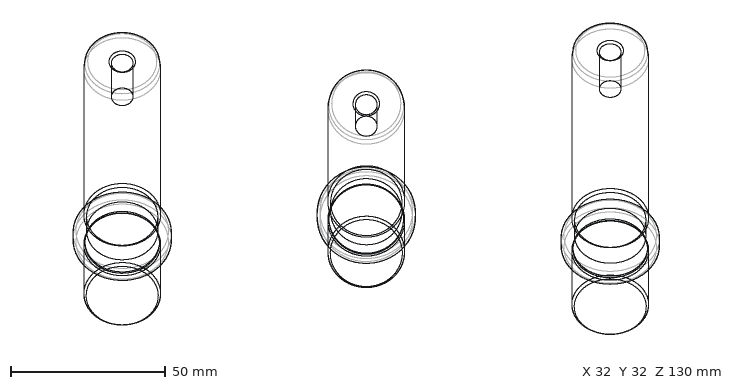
import cadquery as cq

total_height = 130.0
shaft_radius = 12.5
bottom_chamfer_height = 1.0
bottom_chamfer_width = 0.8

lead_length = 4.0
lead_top_radius = 12.1
edge_round = 0.98

flange_radius = 16.0
flange_bottom = 30.0
flange_height = 6.0
flange_top = flange_bottom + flange_height

relief_radius = 12.1
relief_width = 0.8
relief_taper_height = 0.8

neck_radius = 11.6
neck_length = 8.0
neck_step = shaft_radius - neck_radius

hole_radius = 3.5
hole_depth = 19.5
hole_chamfer = 0.8
hole_chamfer_angle = 90


def make_shaft():
    """Revolve the stepped shaft from its half section in the XZ plane."""
    relief_bottom = flange_bottom - relief_width
    neck_top = flange_top + neck_length
    half_section = (
        cq.Workplane("XZ")
        .lineTo(shaft_radius - bottom_chamfer_width, 0)
        .lineTo(shaft_radius, bottom_chamfer_height)
        .lineTo(shaft_radius, relief_bottom - relief_taper_height)
        .lineTo(relief_radius, relief_bottom)
        .lineTo(relief_radius, flange_bottom)
        .lineTo(neck_radius, flange_bottom)
        .lineTo(neck_radius, neck_top)
        .lineTo(shaft_radius, neck_top + neck_step)
        .lineTo(shaft_radius, total_height - lead_length)
        .lineTo(lead_top_radius, total_height)
        .lineTo(0, total_height)
        .close()
    )
    shaft = half_section.revolve(360, (0, 0, 0), (0, 1, 0))
    return shaft.faces(">Z").edges().fillet(edge_round)


def make_flange():
    """Disc with both outer edges rounded."""
    disc = cq.Workplane("XY").workplane(offset=flange_bottom).circle(flange_radius).extrude(flange_height)
    return disc.edges("%CIRCLE").fillet(edge_round)


def cut_centre_hole(body):
    """Cut the blind hole with a chamfered mouth."""
    return (
        body.faces(">Z")
        .workplane(origin=(0, 0, total_height))
        .cskHole(2 * hole_radius, 2 * (hole_radius + hole_chamfer), hole_chamfer_angle, hole_depth)
    )


result = cut_centre_hole(make_shaft().union(make_flange()))